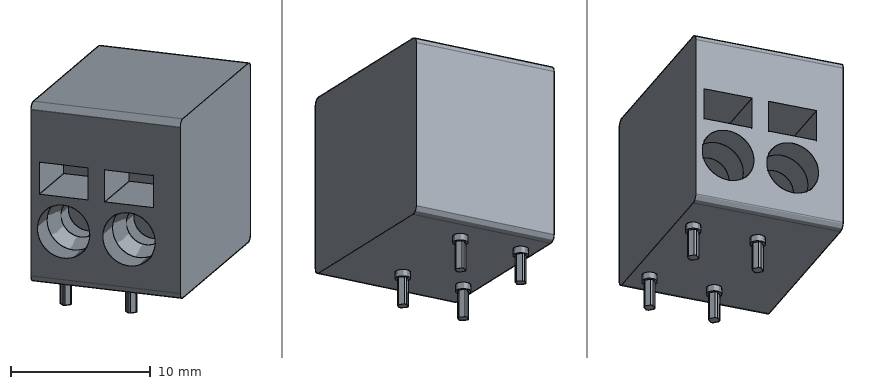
import cadquery as cq

width = 11.4
depth = 14.4
total_height = 16.1
pin_drop = 2.6
height = total_height - pin_drop
edge_radius = 0.5
front_y = -depth / 2

pole_pitch = 4.99
first_pole_x = -3.2
pole_xs = [first_pole_x, first_pole_x + pole_pitch]

entry_z = 4.12
mouth_diameter = 4.0
mouth_depth = 2.0
bore_diameter = 3.0
shoulder_depth = 1.5
entry_depth = 4.99

slot_width = 3.7
slot_height = 2.42
slot_z = 7.94
slot_depth = 4.99

pin_pole_offset = -1.19
pin_ys = [-3.53, 4.67]
collar_diameter = 1.1
collar_height = 0.5
shank_span = 0.8
shank_corner_flat = 0.18


def front_plane(x, z):
    """Plane on the front face whose normal points into the housing."""
    return cq.Plane(origin=(x, front_y, z), xDir=(1, 0, 0), normal=(0, 1, 0))


def make_wire_entry(x):
    mouth = cq.Workplane(front_plane(x, entry_z)).circle(mouth_diameter / 2).extrude(mouth_depth)
    shoulder = (
        cq.Workplane(front_plane(x, entry_z))
        .workplane(offset=mouth_depth)
        .circle(mouth_diameter / 2)
        .workplane(offset=shoulder_depth)
        .circle(bore_diameter / 2)
        .loft(ruled=True)
    )
    bore = cq.Workplane(front_plane(x, entry_z)).circle(bore_diameter / 2).extrude(entry_depth)
    return mouth.union(shoulder).union(bore)


def make_release_slot(x):
    return cq.Workplane(front_plane(x, slot_z)).rect(slot_width, slot_height).extrude(slot_depth)


def make_housing():
    block = (
        cq.Workplane("XY")
        .box(width, depth, height, centered=(True, True, False))
        .edges("|X")
        .fillet(edge_radius)
    )
    for x in pole_xs:
        block = block.cut(make_wire_entry(x)).cut(make_release_slot(x))
    return block


def make_pin(x, y):
    collar = cq.Workplane("XY").circle(collar_diameter / 2).extrude(-collar_height)
    square_side = (shank_span + shank_corner_flat) / 2**0.5
    shank = (
        cq.Workplane("XY")
        .rect(square_side, square_side)
        .extrude(-pin_drop)
        .edges("|Z")
        .chamfer(shank_corner_flat / 2**0.5)
        .rotate((0, 0, 0), (0, 0, 1), 45)
    )
    return collar.union(shank).translate((x, y, 0))


housing = make_housing()
pins = [make_pin(x + pin_pole_offset, y) for x in pole_xs for y in pin_ys]

result = cq.Compound.makeCompound([housing.val(), *[pin.val() for pin in pins]])